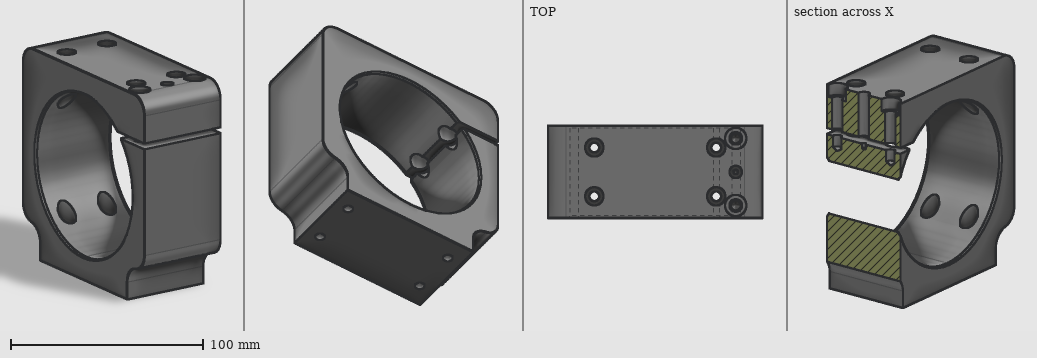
import cadquery as cq
import math

WIDTH = 111.76
DEPTH = 48.26
HEIGHT = 114.3
CORNER_RADIUS = 9.525
FOOT_WIDTH = 80.01
EDGE_CHAMFER = 0.3

BORE_DIAMETER = 88.9
BORE_HEIGHT = HEIGHT / 2
BORE_CHAMFER_RADIAL = 0.635
BORE_CHAMFER_AXIAL = 1.35

SLOT_WIDTH = 3.175
SLOT_HEIGHT = 88.1

MOUNT_SPACING_X = 63.5
MOUNT_SPACING_Y = 25.4
MOUNT_ACCESS_DIAMETER = 9.525
MOUNT_HOLE_DIAMETER = 5.0
MOUNT_SEAT_HEIGHT = 9.525

SCREW_ROW_X = 41.91
CLAMP_SPACING_Y = 34.925
CLAMP_HEAD_DIAMETER = 11.1125
CLAMP_HEAD_DEPTH = 6.7
CLAMP_CLEARANCE_DIAMETER = 6.6
CLAMP_TAP_DIAMETER = 5.2
CLAMP_TAP_DEPTH = 6.35
JACK_HOLE_DIAMETER = 6.5
JACK_SEAT_DIAMETER = 2.3
JACK_SEAT_DEPTH = 2.5

DRILL_POINT_ANGLE = 118.0

SLOT_BOTTOM = SLOT_HEIGHT - SLOT_WIDTH / 2


def block():
    """Rounded block narrowing to the foot through S-shaped shoulders."""
    half_width = WIDTH / 2
    half_foot = FOOT_WIDTH / 2
    r = CORNER_RADIUS
    diagonal = r * math.sqrt(0.5)

    concave_x = half_foot + r
    concave_z = r
    convex_x = half_width - r
    convex_z = concave_z + math.sqrt((2 * r) ** 2 - (concave_x - convex_x) ** 2)
    touch = ((concave_x + convex_x) / 2, (concave_z + convex_z) / 2)

    right_half = (
        cq.Workplane("XZ", origin=(0, DEPTH / 2, 0))
        .moveTo(0, 0)
        .lineTo(half_foot, 0)
        .lineTo(half_foot, concave_z)
        .threePointArc((concave_x - diagonal, concave_z + diagonal), touch)
        .threePointArc((convex_x + diagonal, convex_z - diagonal), (half_width, convex_z))
        .lineTo(half_width, HEIGHT - r)
        .threePointArc((convex_x + diagonal, HEIGHT - r + diagonal), (convex_x, HEIGHT))
        .lineTo(0, HEIGHT)
        .close()
        .extrude(DEPTH)
    )
    whole = right_half.union(right_half.mirror("YZ")).clean()
    return whole.faces("<Y").edges().chamfer(EDGE_CHAMFER)


def bore_cutter():
    """Bore along Y, chamfered at both ends."""
    radius = BORE_DIAMETER / 2
    half_depth = DEPTH / 2
    rim = radius + BORE_CHAMFER_RADIAL
    return (
        cq.Workplane("YZ", origin=(0, 0, BORE_HEIGHT))
        .polyline([
            (-half_depth, 0),
            (-half_depth, -rim),
            (-half_depth + BORE_CHAMFER_AXIAL, -radius),
            (half_depth - BORE_CHAMFER_AXIAL, -radius),
            (half_depth, -rim),
            (half_depth, 0),
        ])
        .close()
        .revolve(360, (0, 0, 0), (1, 0, 0))
    )


def slot_cutter():
    """Horizontal slot from the bore axis out through the +X side."""
    slot = cq.Workplane("XY").box(WIDTH, DEPTH, SLOT_WIDTH, centered=(False, True, True))
    return slot.translate((0, 0, SLOT_HEIGHT))


def cylinder(diameter, bottom, top, x, y):
    """Vertical cylinder between two heights."""
    return cq.Workplane("XY", origin=(x, y, bottom)).circle(diameter / 2).extrude(top - bottom)


def mount_cutter(x, y):
    """Access hole down to the seat in the bottom wall, then a smaller hole right through."""
    access = cylinder(MOUNT_ACCESS_DIAMETER, MOUNT_SEAT_HEIGHT, HEIGHT, x, y)
    return access.union(cylinder(MOUNT_HOLE_DIAMETER, 0, HEIGHT, x, y))


def blind_hole(diameter, depth, y):
    """Drilled hole with a conical end, going down from the lower face of the slot."""
    radius = diameter / 2
    bottom = SLOT_BOTTOM - depth
    point_length = radius / math.tan(math.radians(DRILL_POINT_ANGLE / 2))
    point = cq.Solid.makeCone(
        radius, 0, point_length, cq.Vector(SCREW_ROW_X, y, bottom), cq.Vector(0, 0, -1)
    )
    return cylinder(diameter, bottom, SLOT_HEIGHT, SCREW_ROW_X, y).union(cq.Workplane(point))


def clamp_cutter(y):
    """Counterbored clearance hole above the slot, blind tapped hole below it."""
    head = cylinder(CLAMP_HEAD_DIAMETER, HEIGHT - CLAMP_HEAD_DEPTH, HEIGHT, SCREW_ROW_X, y)
    clearance = cylinder(CLAMP_CLEARANCE_DIAMETER, SLOT_HEIGHT, HEIGHT, SCREW_ROW_X, y)
    return head.union(clearance).union(blind_hole(CLAMP_TAP_DIAMETER, CLAMP_TAP_DEPTH, y))


def jack_cutter():
    """Threaded hole above the slot, with a small seat for the screw tip below it."""
    thread = cylinder(JACK_HOLE_DIAMETER, SLOT_HEIGHT, HEIGHT, SCREW_ROW_X, 0)
    return thread.union(blind_hole(JACK_SEAT_DIAMETER, JACK_SEAT_DEPTH, 0))


result = block().cut(bore_cutter()).cut(slot_cutter())

for side_x in (-1, 1):
    for side_y in (-1, 1):
        result = result.cut(mount_cutter(side_x * MOUNT_SPACING_X / 2, side_y * MOUNT_SPACING_Y / 2))

for side_y in (-1, 1):
    result = result.cut(clamp_cutter(side_y * CLAMP_SPACING_Y / 2))

result = result.cut(jack_cutter())